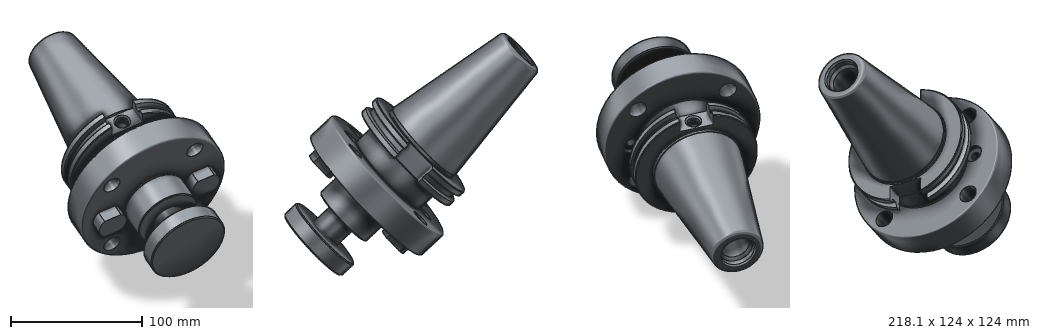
import cadquery as cq
import math


taper_length = 101.6
taper_large_radius = 35.0
taper_rate = 7 / 24
taper_end_fillet = 3.0
neck_radius = 34.5

gripper_start = 105.0
gripper_width = 16.0
gripper_diameter = 97.5
gripper_chamfer = 0.7
groove_mouth_width = 6.5
groove_floor_width = 4.1
groove_depth = 3.7
root_fillet = 0.7

slot_width = 26.5
upper_slot_floor = 37.0
lower_slot_floor = 35.0
slot_corner_fillet = 0.7

slot_hole_mouth_diameter = 12.7
slot_hole_diameter = 10.0
slot_hole_core_diameter = 8.0
slot_hole_depth = 5.0
slot_hole_core_depth = 7.0
drill_point_angle = 118

collar_radius = 35.1
flange_start = 139.4
flange_end = 162.5
flange_radius = 62.0
flange_fillet = 1.3

mounting_hole_diameter = 14.0
mounting_hole_pitch_radius = 50.8
mounting_hole_count = 4
mounting_hole_start_angle = 45

pilot_end = 186.3
pilot_diameter = 50.8
pilot_relief_diameter = 49.3
pilot_relief_width = 1.7
pilot_chamfer = 0.7

bore_mouth_diameter = 28.4
bore_mouth_depth = 1.7
bore_diameter = 26.5
bore_core_diameter = 22.0
bore_depth = 5.9
bore_core_depth = 87.2

key_diameter = 23.3
key_width = 18.5
key_offset = 40.4
key_seat_depth = 8.7
key_projection = 9.8
key_bolt_counterbore_diameter = 14.0
key_bolt_counterbore_depth = 3.7
key_bolt_hole_diameter = 6.3

screw_shank_diameter = 25.3
screw_embedded_length = 43.6
screw_head_start = 205.0
screw_head_diameter = 63.7
screw_end = 218.1
screw_head_chamfer = 0.9
screw_head_fillet = 1.0

taper_small_radius = taper_large_radius - taper_length * taper_rate / 2
gripper_radius = gripper_diameter / 2
gripper_end = gripper_start + gripper_width
gripper_middle = gripper_start + gripper_width / 2
groove_floor_radius = gripper_radius - groove_depth
key_seat_floor = flange_end - key_seat_depth
key_end = flange_end + key_projection
screw_start = pilot_end - screw_embedded_length


def x_cylinder(diameter, start, end, y=0, z=0):
    """Cylinder parallel to X between two X positions."""
    return cq.Workplane("YZ", origin=(start, y, z)).circle(diameter / 2).extrude(end - start)


def x_cone(start_diameter, end_diameter, start, end):
    """Cone frustum about the X axis between two X positions."""
    return cq.Workplane(
        cq.Solid.makeCone(
            start_diameter / 2, end_diameter / 2, end - start, cq.Vector(start, 0, 0), cq.Vector(1, 0, 0)
        )
    )


def turned_taper():
    taper = x_cone(2 * taper_small_radius, 2 * taper_large_radius, 0, taper_length)
    return taper.faces("<X").edges().fillet(taper_end_fillet)


def turned_gripper():
    """Gripper flange with edge chamfers and a V groove round its rim."""
    half_mouth = groove_mouth_width / 2
    half_floor = groove_floor_width / 2
    disc = x_cylinder(gripper_diameter, gripper_start, gripper_end).edges().chamfer(gripper_chamfer)
    groove = (
        cq.Workplane("XY")
        .moveTo(gripper_middle - half_floor, groove_floor_radius)
        .lineTo(gripper_middle + half_floor, groove_floor_radius)
        .lineTo(gripper_middle + half_mouth, gripper_radius)
        .lineTo(gripper_middle - half_mouth, gripper_radius)
        .close()
        .revolve(360, (0, 0, 0), (1, 0, 0))
    )
    return disc.cut(groove)


def root_ring(radius, face_position, direction):
    """Concave fillet ring between a cylinder and the flange face it meets.

    The ring lies on the +X (direction = 1) or -X (direction = -1) side of the face.
    """
    far_end = face_position + direction * root_fillet
    arc_inset = root_fillet * (1 - math.cos(math.radians(45)))
    arc_middle = (face_position + direction * arc_inset, radius + arc_inset)
    return (
        cq.Workplane("XY")
        .moveTo(face_position, 0)
        .lineTo(face_position, radius + root_fillet)
        .threePointArc(arc_middle, (far_end, radius))
        .lineTo(far_end, 0)
        .close()
        .revolve(360, (0, 0, 0), (1, 0, 0))
    )


def turned_blank():
    relief_end = flange_end + pilot_relief_width
    flange = x_cylinder(2 * flange_radius, flange_start, flange_end).edges().fillet(flange_fillet)
    pilot = x_cylinder(pilot_diameter, relief_end, pilot_end).faces(">X").edges().chamfer(pilot_chamfer)
    return (
        turned_taper()
        .union(x_cylinder(2 * neck_radius, taper_length, gripper_start))
        .union(turned_gripper())
        .union(root_ring(neck_radius, gripper_start, -1))
        .union(root_ring(collar_radius, gripper_end, 1))
        .union(root_ring(collar_radius, flange_start, -1))
        .union(x_cylinder(2 * collar_radius, gripper_end, flange_start))
        .union(flange)
        .union(x_cylinder(pilot_relief_diameter, flange_end, relief_end))
        .union(pilot)
    )


def drive_slot(floor, side):
    """Slot cutter above (side = 1) or below (side = -1) the axis."""
    height = gripper_radius - floor
    floor_edges = "|X and <Z" if side > 0 else "|X and >Z"
    return (
        cq.Workplane("XY")
        .box(gripper_width, slot_width, height)
        .edges(floor_edges)
        .fillet(slot_corner_fillet)
        .translate((gripper_middle, 0, side * (floor + height / 2)))
    )


def slot_hole():
    """Stepped blind hole going down from the upper slot floor, with a drill point."""
    mouth_radius = slot_hole_mouth_diameter / 2
    hole_radius = slot_hole_diameter / 2
    core_radius = slot_hole_core_diameter / 2
    point_length = core_radius / math.tan(math.radians(drill_point_angle / 2))
    core_floor = upper_slot_floor - slot_hole_core_depth
    return (
        cq.Workplane("XZ", origin=(gripper_middle, 0, 0))
        .moveTo(0, upper_slot_floor)
        .lineTo(mouth_radius, upper_slot_floor)
        .lineTo(hole_radius, upper_slot_floor - (mouth_radius - hole_radius))
        .lineTo(hole_radius, upper_slot_floor - slot_hole_depth)
        .lineTo(core_radius, upper_slot_floor - slot_hole_depth)
        .lineTo(core_radius, core_floor)
        .lineTo(0, core_floor - point_length)
        .close()
        .revolve(360, (0, 0, 0), (0, 1, 0))
    )


def mounting_holes():
    return (
        cq.Workplane("YZ", origin=(flange_start, 0, 0))
        .polarArray(mounting_hole_pitch_radius, mounting_hole_start_angle, 360, mounting_hole_count)
        .circle(mounting_hole_diameter / 2)
        .extrude(flange_end - flange_start)
    )


def taper_bore():
    """Bore in the small end: chamfered mouth, clearance length, cone and blind core."""
    cone_end = bore_depth + (bore_diameter - bore_core_diameter) / 2
    return (
        x_cone(bore_mouth_diameter, bore_diameter, 0, bore_mouth_depth)
        .union(x_cylinder(bore_diameter, bore_mouth_depth, bore_depth))
        .union(x_cone(bore_diameter, bore_core_diameter, bore_depth, cone_end))
        .union(x_cylinder(bore_core_diameter, cone_end, bore_core_depth))
    )


def key_shape(side):
    """Round key with two flats, from its seat floor to its front face; side picks +Y or -Y."""
    length = key_end - key_seat_floor
    flats = cq.Workplane("XY").box(length, key_diameter, key_width)
    return x_cylinder(key_diameter, key_seat_floor, key_end, y=side * key_offset).intersect(
        flats.translate((key_seat_floor + length / 2, side * key_offset, 0))
    )


def key_bolt_hole(side):
    """Counterbored bolt hole from the rear flange face to the key seat."""
    y = side * key_offset
    counterbore_end = flange_start + key_bolt_counterbore_depth
    counterbore = x_cylinder(key_bolt_counterbore_diameter, flange_start, counterbore_end, y=y)
    return counterbore.union(x_cylinder(key_bolt_hole_diameter, counterbore_end, key_seat_floor, y=y))


def make_arbor():
    arbor = turned_blank()
    arbor = arbor.cut(drive_slot(upper_slot_floor, 1)).cut(drive_slot(lower_slot_floor, -1))
    arbor = arbor.cut(slot_hole()).cut(mounting_holes()).cut(taper_bore())
    for side in (-1, 1):
        arbor = arbor.cut(key_shape(side)).cut(key_bolt_hole(side))
    return arbor.cut(x_cylinder(screw_shank_diameter, screw_start, pilot_end))


def make_clamping_screw():
    head = x_cylinder(screw_head_diameter, screw_head_start, screw_end).edges().chamfer(screw_head_chamfer)
    screw = head.union(x_cylinder(screw_shank_diameter, screw_start, screw_head_start))
    shank_root = cq.selectors.RadiusNthSelector(0)
    return screw.faces("<X[1]").edges(shank_root).fillet(screw_head_fillet)


arbor = make_arbor()
clamping_screw = make_clamping_screw()
drive_keys = [key_shape(side) for side in (-1, 1)]

result = cq.Compound.makeCompound(
    [
        arbor.solids().val(),
        clamping_screw.solids().val(),
        *[key.solids().val() for key in drive_keys],
    ]
)